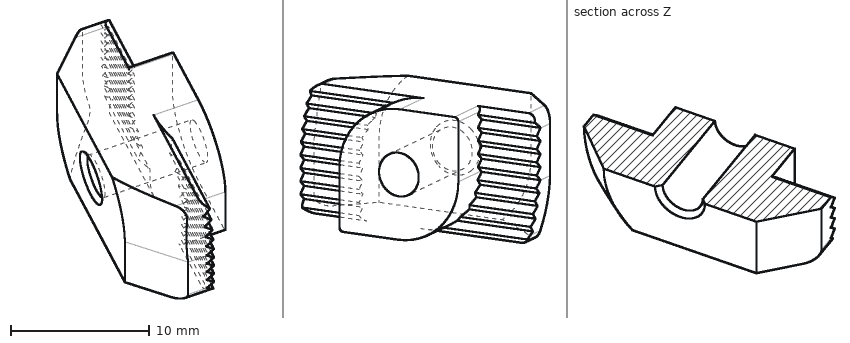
import cadquery as cq
import math

length = 19.5
height = 9.8
total_depth = 8.5
flange_depth = 5.54
half_length = length / 2
half_height = height / 2

front_half_width = 6.25
corner_radius = 1.0
end_drop_middle = 0.31
end_drop_corner = 0.9

stud_small_radius = 0.31
stud_large_radius = 5.0

tooth_count = 10
tooth_depth = 0.57
tooth_pitch = height / tooth_count
valley_depth = flange_depth - tooth_depth

hole_radius = 1.64
countersink_radius = 2.05


def flange_blank():
    """Plate whose upper right and lower left quarters have curved ends."""
    middle_x = half_length - end_drop_middle
    corner_x = half_length - end_drop_corner
    return (
        cq.Workplane("XZ")
        .moveTo(-half_length, half_height)
        .lineTo(corner_x, half_height)
        .threePointArc((middle_x, half_height / 2), (half_length, 0))
        .lineTo(half_length, -half_height)
        .lineTo(-corner_x, -half_height)
        .threePointArc((-middle_x, -half_height / 2), (-half_length, 0))
        .close()
        .extrude(-flange_depth)
        .edges("|Y")
        .edges(">Z or <Z")
        .fillet(corner_radius)
    )


def opposite_quarters(x_side):
    """Upper quarter on the given X side, plus the lower quarter diagonally across."""
    upper = cq.Workplane("XY").box(length, flange_depth, height, centered=False)
    if x_side < 0:
        upper = upper.translate((-length, 0, 0))
    lower = upper.rotate((0, 0, 0), (0, 1, 0), 180)
    return upper.union(lower)


def bevel_envelope():
    """45 degree wedge for the straight ends and 45 degree cone for the curved ends."""
    rear_half_width = front_half_width + flange_depth
    half_section = cq.Sketch().polygon(
        [(0, 0), (front_half_width, 0), (rear_half_width, flange_depth), (0, flange_depth), (0, 0)]
    )
    cone = cq.Workplane("XY").placeSketch(half_section).revolve(360, (0, 0, 0), (0, 1, 0))
    half_wedge = cq.Workplane("XY").placeSketch(half_section).extrude(half_height, both=True)
    wedge = half_wedge.union(half_wedge.mirror("YZ"))
    straight_ends = wedge.intersect(opposite_quarters(-1))
    curved_ends = cone.intersect(opposite_quarters(1))
    return straight_ends.union(curved_ends)


def tooth_cutter():
    """Space behind a full-length row of V teeth."""
    profile = cq.Workplane("YZ").moveTo(valley_depth, -half_height)
    for tooth in range(tooth_count):
        valley_z = -half_height + tooth * tooth_pitch
        profile = profile.lineTo(flange_depth, valley_z + tooth_pitch / 2)
        profile = profile.lineTo(valley_depth, valley_z + tooth_pitch)
    return (
        profile.lineTo(total_depth, half_height)
        .lineTo(total_depth, -half_height)
        .close()
        .extrude(length, both=True)
    )


def stud():
    """Square stud with two tight corners and two broadly rounded corners."""
    half_side = half_height
    tight_end = half_side - stud_small_radius
    broad_center = half_side - stud_large_radius
    tight_middle = tight_end + stud_small_radius * math.sqrt(0.5)
    broad_middle = broad_center + stud_large_radius * math.sqrt(0.5)
    return (
        cq.Workplane("XZ", origin=(0, valley_depth, 0))
        .moveTo(-tight_end, half_side)
        .lineTo(broad_center, half_side)
        .threePointArc((broad_middle, broad_middle), (half_side, broad_center))
        .lineTo(half_side, -tight_end)
        .threePointArc((tight_middle, -tight_middle), (tight_end, -half_side))
        .lineTo(-broad_center, -half_side)
        .threePointArc((-broad_middle, -broad_middle), (-half_side, -broad_center))
        .lineTo(-half_side, tight_end)
        .threePointArc((-tight_middle, tight_middle), (-tight_end, half_side))
        .close()
        .extrude(valley_depth - total_depth)
    )


def hole_cutter():
    """Through hole with a 45 degree countersink at the front face."""
    countersink_depth = countersink_radius - hole_radius
    return (
        cq.Workplane("XY")
        .lineTo(countersink_radius, 0)
        .lineTo(hole_radius, countersink_depth)
        .lineTo(hole_radius, total_depth)
        .lineTo(0, total_depth)
        .close()
        .revolve(360, (0, 0, 0), (0, 1, 0))
    )


flange = flange_blank().intersect(bevel_envelope()).cut(tooth_cutter())
result = flange.union(stud()).cut(hole_cutter())